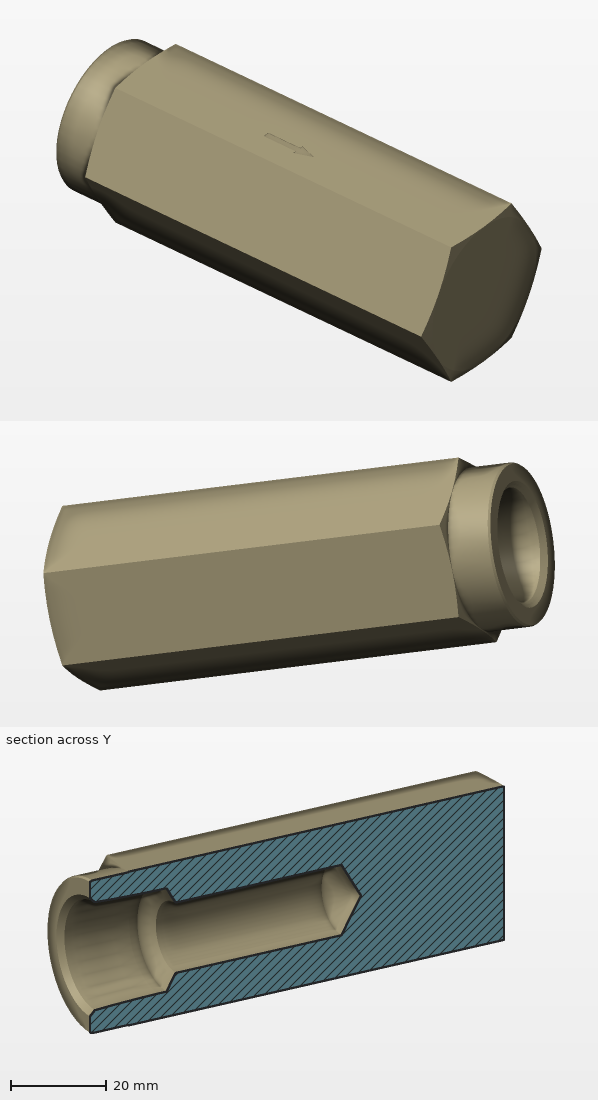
import cadquery as cq
import math

length = 101.6
across_corners = 40.3
hex_flat_radius = across_corners / 2 * math.cos(math.pi / 6)

collar_length = 9.5
collar_diameter = 34.7
collar_chamfer_length = 0.5
collar_chamfer_depth = 0.3

corner_trim_angle = 15.0
trim_start_diameter = collar_diameter

mouth_diameter = 26.8
thread_mouth_diameter = 24.4
thread_end_diameter = 23.4
passage_diameter = 15.8
mouth_chamfer_length = 1.2
thread_length = 15.5
runout_length = 2.0
passage_length = 40.6
drill_point_angle = 118.0

arrow_depth = 0.1
arrow_tail_x = 45.3
arrow_y = -3.1
arrow_length = 12.9
arrow_shaft_length = 8.6
arrow_shaft_width = 1.5
arrow_head_width = 3.0


def revolve_about_x(profile):
    """Revolve a closed (x, radius) outline about the X axis."""
    return cq.Workplane("XY").polyline(profile).close().revolve(360, (0, 0, 0), (1, 0, 0))


def make_hexagon():
    """Hexagonal bar with corners on the Y axis, its corners trimmed to cones at both ends."""
    bar = (
        cq.Workplane("YZ")
        .workplane(offset=collar_length)
        .polygon(6, across_corners)
        .extrude(length - collar_length)
    )
    envelope_radius = across_corners
    trim_radius = trim_start_diameter / 2
    trim_length = (envelope_radius - trim_radius) * math.tan(math.radians(corner_trim_angle))
    envelope = revolve_about_x([
        (collar_length, 0),
        (collar_length, trim_radius),
        (collar_length + trim_length, envelope_radius),
        (length - trim_length, envelope_radius),
        (length, trim_radius),
        (length, 0),
    ])
    return bar.intersect(envelope)


def make_collar():
    """Round collar with a chamfered outer edge, ending at the hexagon."""
    radius = collar_diameter / 2
    return revolve_about_x([
        (0, 0),
        (0, radius - collar_chamfer_depth),
        (collar_chamfer_length, radius),
        (collar_length, radius),
        (collar_length, 0),
    ])


def make_bore():
    """Blind bore: mouth chamfer, tapered thread, short run-out, cone, passage and drill point."""
    half_point_tangent = math.tan(math.radians(drill_point_angle / 2))
    cone_length = (thread_end_diameter - passage_diameter) / 2 / half_point_tangent
    thread_end = mouth_chamfer_length + thread_length
    cone_start = thread_end + runout_length
    passage_start = cone_start + cone_length
    passage_end = passage_start + passage_length
    tip = passage_end + passage_diameter / 2 / half_point_tangent
    return revolve_about_x([
        (0, 0),
        (0, mouth_diameter / 2),
        (mouth_chamfer_length, thread_mouth_diameter / 2),
        (thread_end, thread_end_diameter / 2),
        (cone_start, thread_end_diameter / 2),
        (passage_start, passage_diameter / 2),
        (passage_end, passage_diameter / 2),
        (tip, 0),
    ])


def make_arrow():
    """Arrow-shaped cutter pointing towards +X."""
    shaft_half = arrow_shaft_width / 2
    head_half = arrow_head_width / 2
    return (
        cq.Workplane("XY")
        .workplane(offset=hex_flat_radius - arrow_depth)
        .center(arrow_tail_x, arrow_y)
        .polyline([
            (0, -shaft_half),
            (arrow_shaft_length, -shaft_half),
            (arrow_shaft_length, -head_half),
            (arrow_length, 0),
            (arrow_shaft_length, head_half),
            (arrow_shaft_length, shaft_half),
            (0, shaft_half),
        ])
        .close()
        .extrude(2 * arrow_depth)
    )


result = make_hexagon().union(make_collar()).cut(make_bore()).cut(make_arrow())